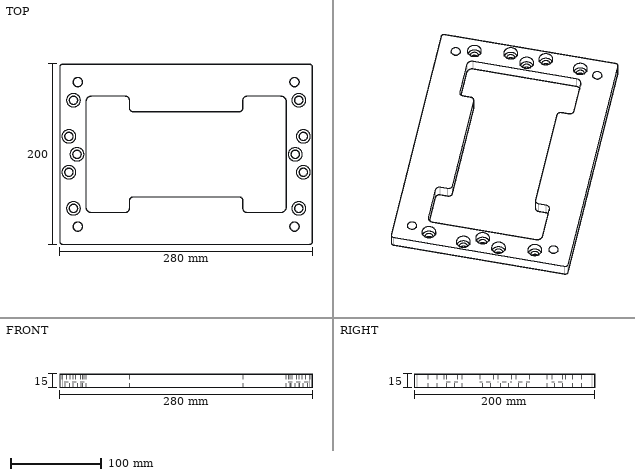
import cadquery as cq

length = 280.0
width = 200.0
thickness = 15.0
corner_radius = 3.0

window_length = 221.8
window_width = 128.8
pad_length = 126.0
pad_gap = 94.0
window_radius = 6.0
pad_radius = 4.5

plain_diameter = 10.0
plain_x = 120.0
plain_y = 80.0

bolt_diameter = 9.0
bore_diameter = 15.0
bore_depth = 9.0
outer_bolt = (125.0, 60.0)
inner_bolt = (130.0, 20.0)
middle_bolt_x = 121.0


def mirrored(x, y):
    """Positions of a point repeated in all four quadrants."""
    return [(sx * x, sy * y) for sx in (-1, 1) for sy in (-1, 1)]


def make_plate():
    plate = cq.Workplane("XY").box(length, width, thickness, centered=(True, True, False))
    return plate.edges("|Z").fillet(corner_radius)


def make_window():
    """Solid to remove, with every vertical corner rounded."""
    window = cq.Workplane("XY").box(window_length, window_width, thickness, centered=(True, True, False))
    window = window.edges("|Z").fillet(window_radius)
    pad_width = (window_width - pad_gap) / 2
    pad_y = (window_width - pad_width) / 2
    pads = (
        cq.Workplane("XY")
        .pushPoints([(0, -pad_y), (0, pad_y)])
        .rect(pad_length, pad_width)
        .extrude(thickness)
    )
    middle_zone = cq.selectors.BoxSelector(
        (-pad_length / 2 - pad_radius, -width, -thickness),
        (pad_length / 2 + pad_radius, width, 2 * thickness),
    )
    return window.cut(pads).edges("|Z").edges(middle_zone).fillet(pad_radius)


plain_points = mirrored(plain_x, plain_y)
middle_points = [(-middle_bolt_x, 0), (middle_bolt_x, 0)]
bolt_points = mirrored(*outer_bolt) + mirrored(*inner_bolt) + middle_points

result = make_plate().cut(make_window())
result = result.faces(">Z").workplane(origin=(0, 0, thickness)).pushPoints(plain_points).hole(plain_diameter)
result = (
    result.faces(">Z")
    .workplane(origin=(0, 0, thickness))
    .pushPoints(bolt_points)
    .cboreHole(bolt_diameter, bore_diameter, bore_depth)
)